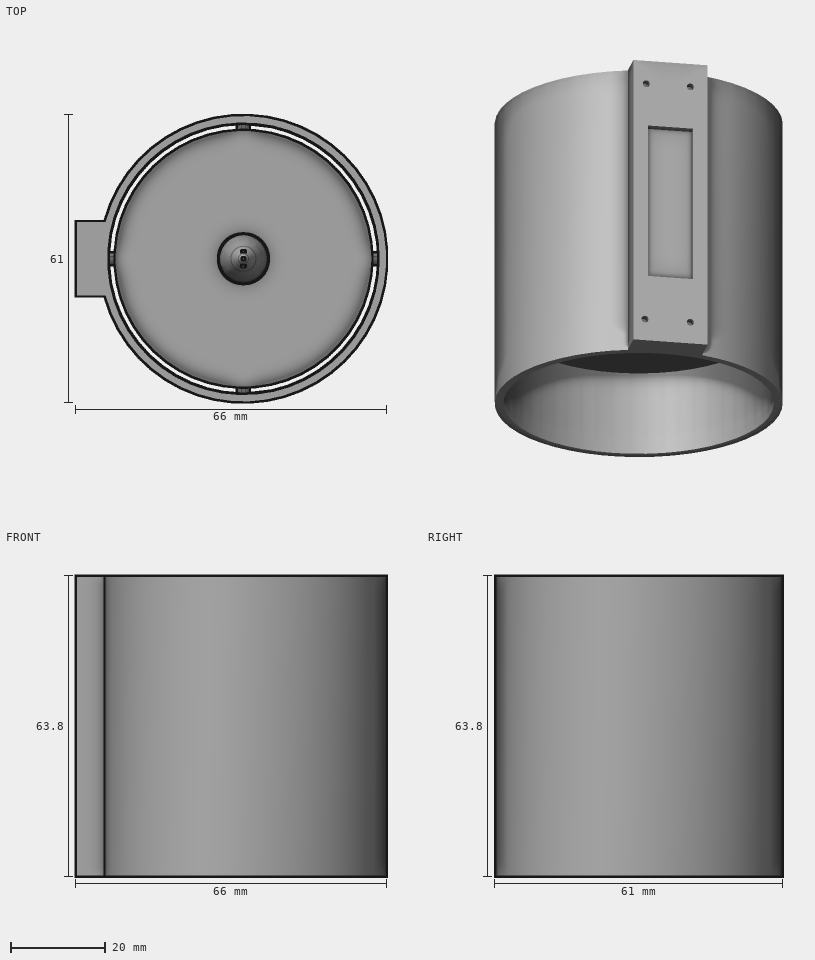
import cadquery as cq
overall_length = 66.0
height = 63.75
outer_diameter = 61.0
outer_radius = outer_diameter / 2
bore_end_radius = 28.65
bore_throat_radius = 28.5
block_face_x = outer_radius - overall_length
block_width = 16.05

recess_width = 9.75
recess_height = 34.3
recess_depth = 1.85
screw_diameter = 1.5
screw_depth = 1.85
screw_right_y = -4.3
screw_top_left_y = 5.2
screw_bottom_left_y = 5.5
screw_bottom_z = 4.8
screw_top_z = height - 5.2

hub_radius = 27.3
hub_top_z = height - 17.8
hub_bottom_z = height - hub_top_z

pin_count = 4
pin_width = 2.85
pin_flat_width = 0.9
pin_thickness = pin_width - pin_flat_width
pin_z = height / 2
pin_socket_depth = 0.9
pin_inner_radius = hub_radius - pin_socket_depth
pin_outer_radius = bore_throat_radius + pin_socket_depth

seat_radius = 5.4
seat_depth = 0.65
nose_base_radius = 5.2
nose_middle_radius = 2.65
nose_middle_height = 8.0
nose_shoulder_radius = 1.05
nose_shoulder_height = 11.0
nose_tip_radius = 0.4
nose_height = 11.9
nose_base_direction = (-0.22, 1)
nose_middle_direction = (-0.46, 1)
nose_shoulder_direction = (-0.58, 1)
cross_hole_diameter = 1.05
cross_hole_height = 10.0


def make_pins():
    """Return one list of radial rods, the first along +X."""
    length = pin_outer_radius - pin_inner_radius
    rod = (
        cq.Workplane("YZ", origin=(pin_inner_radius, 0, pin_z))
        .slot2D(pin_width, pin_thickness)
        .extrude(length)
    )
    return [rod.rotate((0, 0, 0), (0, 0, 1), 360 / pin_count * i) for i in range(pin_count)]


def make_housing(pins):
    block_length = -block_face_x
    housing = cq.Workplane("XY").circle(outer_radius).extrude(height)
    block = cq.Workplane("XY").box(block_length, block_width, height, centered=(False, True, False))
    housing = housing.union(block.translate((block_face_x, 0, 0)))
    bore = (
        cq.Workplane("XZ")
        .lineTo(bore_end_radius, 0)
        .spline([(bore_throat_radius, height / 2), (bore_end_radius, height)], includeCurrent=True)
        .lineTo(0, height)
        .close()
        .revolve(360, (0, 0, 0), (0, 1, 0))
    )
    housing = housing.cut(bore)

    recess = cq.Workplane("XY").box(
        recess_depth, recess_width, recess_height, centered=(False, True, True)
    )
    housing = housing.cut(recess.translate((block_face_x, 0, height / 2)))

    screw_places = [
        (screw_top_left_y, screw_top_z),
        (screw_right_y, screw_top_z),
        (screw_bottom_left_y, screw_bottom_z),
        (screw_right_y, screw_bottom_z),
    ]
    screw_holes = (
        cq.Workplane("YZ", origin=(block_face_x, 0, 0))
        .pushPoints(screw_places)
        .circle(screw_diameter / 2)
        .extrude(screw_depth)
    )
    housing = housing.cut(screw_holes)
    for pin in pins:
        housing = housing.cut(pin)
    return housing


def make_hub(pins):
    hub = (
        cq.Workplane("XY", origin=(0, 0, hub_bottom_z))
        .circle(hub_radius)
        .extrude(hub_top_z - hub_bottom_z)
    )
    seat = cq.Workplane("XY", origin=(0, 0, hub_top_z)).circle(seat_radius).extrude(-seat_depth)
    hub = hub.cut(seat)
    for pin in pins:
        hub = hub.cut(pin)
    return hub


def make_nose():
    nose = (
        cq.Workplane("XZ")
        .moveTo(0, -seat_depth)
        .lineTo(nose_base_radius, -seat_depth)
        .lineTo(nose_base_radius, 0)
        .spline(
            [(nose_middle_radius, nose_middle_height)],
            tangents=[nose_base_direction, nose_middle_direction],
            includeCurrent=True,
        )
        .spline(
            [(nose_shoulder_radius, nose_shoulder_height)],
            tangents=[nose_middle_direction, nose_shoulder_direction],
            includeCurrent=True,
        )
        .lineTo(nose_tip_radius, nose_height)
        .lineTo(0, nose_height)
        .close()
        .revolve(360, (0, 0, 0), (0, 1, 0))
    )
    cross_hole = (
        cq.Workplane("XZ", origin=(0, 0, cross_hole_height))
        .circle(cross_hole_diameter / 2)
        .extrude(nose_base_radius, both=True)
    )
    return nose.cut(cross_hole).translate((0, 0, hub_top_z))


pins = make_pins()
housing = make_housing(pins)
hub = make_hub(pins)
nose = make_nose()

result = cq.Compound.makeCompound(
    [housing.val(), hub.val(), nose.val(), *[pin.val() for pin in pins]]
)